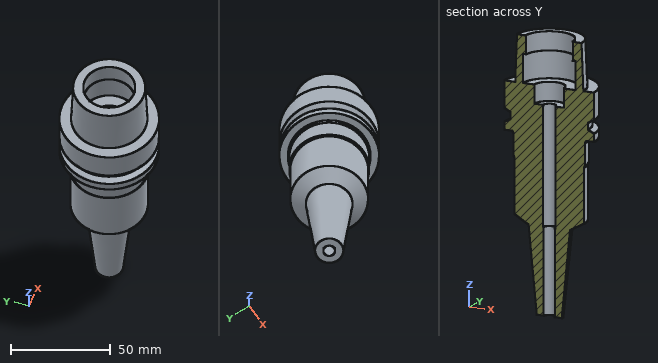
import cadquery as cq

total_height = 145.0

shank_top_diameter = 36.2
shank_base_diameter = 38.3
flange_diameter = 50.0
groove_diameter = 43.5
collar_diameter = 40.0
body_diameter = 39.0
nose_base_diameter = 23.3
nose_tip_diameter = 14.2

shank_length = 25.0
flange_length = 26.0
upper_rim_length = 14.6
lower_rim_length = 4.5
groove_floor_length = 3.5
collar_length = 13.9
body_length = 29.3
shoulder_length = 4.5

collar_flare = 0.7
collar_flare_length = 1.2
collar_chamfer_length = 0.9

socket_diameter = 26.0
socket_mouth_depth = 10.0
undercut_diameter = 29.0
counterbore_diameter = 16.2
counterbore_depth = 10.0
upper_hole_diameter = 6.7
tip_hole_diameter = 6.0

flange_top = total_height - shank_length
flange_bottom = flange_top - flange_length
collar_bottom = flange_bottom - collar_length
body_bottom = collar_bottom - body_length
nose_top = body_bottom - shoulder_length

undercut_top = total_height - socket_mouth_depth
socket_floor = flange_top
counterbore_floor = socket_floor - counterbore_depth
tip_hole_top = nose_top

groove_top = flange_top - upper_rim_length
groove_bottom = flange_bottom + lower_rim_length
groove_wall_length = (groove_top - groove_bottom - groove_floor_length) / 2


def turned_body():
    """Solid of revolution about Z from (diameter, level) corners, top to bottom."""
    corners = [
        (shank_top_diameter, total_height),
        (shank_base_diameter, flange_top),
        (flange_diameter, flange_top),
        (flange_diameter, groove_top),
        (groove_diameter, groove_top - groove_wall_length),
        (groove_diameter, groove_bottom + groove_wall_length),
        (flange_diameter, groove_bottom),
        (flange_diameter, flange_bottom),
        (collar_diameter + 2 * collar_flare, flange_bottom),
        (collar_diameter, flange_bottom - collar_flare_length),
        (collar_diameter, collar_bottom + collar_chamfer_length),
        (body_diameter, collar_bottom),
        (body_diameter, body_bottom),
        (nose_base_diameter, nose_top),
        (nose_tip_diameter, 0),
    ]
    outline = [(diameter / 2, level) for diameter, level in corners]
    profile = cq.Workplane("XZ").polyline([(0, total_height)] + outline + [(0, 0)]).close()
    return profile.revolve(360, (0, 0, 0), (0, 1, 0))


def bore(diameter, bottom, top):
    """Cylinder about Z between two levels."""
    return cq.Workplane("XY", origin=(0, 0, bottom)).circle(diameter / 2).extrude(top - bottom)


result = (
    turned_body()
    .cut(bore(socket_diameter, undercut_top, total_height))
    .cut(bore(undercut_diameter, socket_floor, undercut_top))
    .cut(bore(counterbore_diameter, counterbore_floor, socket_floor))
    .cut(bore(upper_hole_diameter, tip_hole_top, counterbore_floor))
    .cut(bore(tip_hole_diameter, 0, tip_hole_top))
)